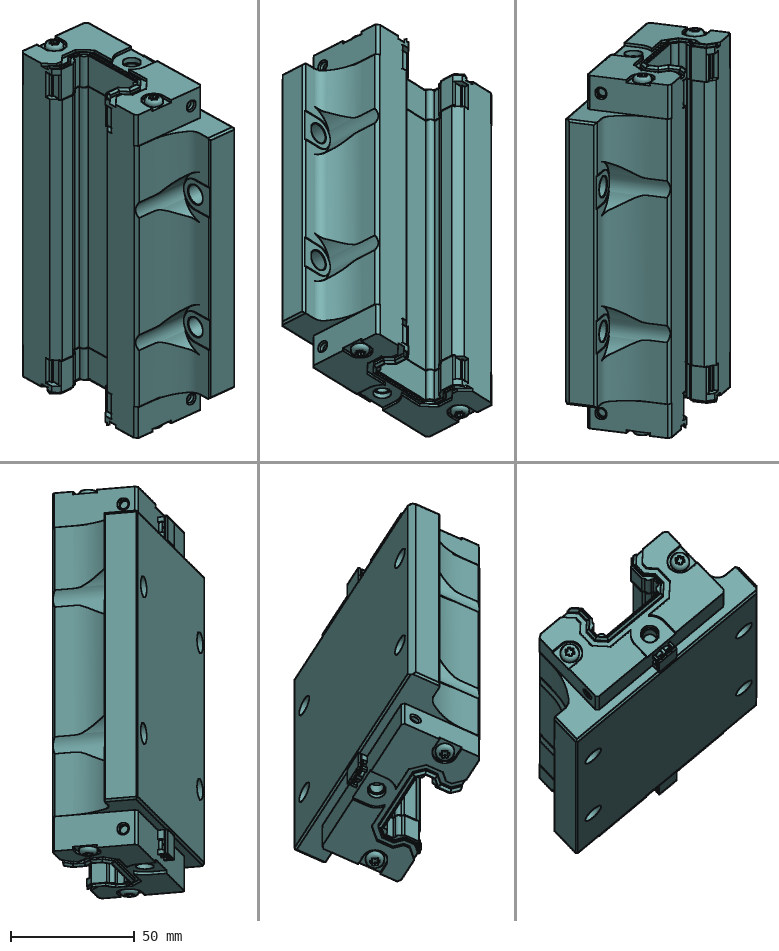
import cadquery as cq
import math


length = 153.5
flange_width = 100.0
height = 40.5
half_length = length / 2
flange_half = flange_width / 2

block_half_length = 61.1
flange_bottom = 26.4
fillet_outer_x = 43.6
fillet_inner_x = 39.3
fillet_end_y = 23.5
fillet_radius = 5.2
block_wall_x = 35.0
flank_end_y = 9.0
leg_bevel = 1.4
datum_bevel = 2.5
datum_lower_bevel = 1.0
plain_bevel = 0.6
end_bevel = 0.9

bolt_x = 41.0
bolt_z = 31.0
bolt_diameter = 8.6
bolt_mouth_diameter = 9.0
seat_diameter = 14.0
seat_depth = 0.3
relief_x = 46.5
relief_radius = 12.0

opening_ceiling = 18.4
opening_waist_x = 16.7
waist_low_y = 12.6
waist_high_y = 16.0
bead_x = 14.3
bead_radius = 1.7
low_bead_y = 10.5
high_bead_y = 17.7
tip_x = 13.4
tip_high_y = 9.2
cap_mouth_x = 16.1
block_mouth_x = 17.3
block_clearance = 0.3

cap_half_width = 34.8
cap_height = 36.0
cap_face_z = 75.7
face_recess = 1.2
recess_floor_z = cap_face_z - face_recess
bottom_bevel_x = 1.5
bottom_bevel_y = 1.0
top_bevel = 1.0
notch_end_z = 72.8
notch_inner_x = 14.1
notch_step_x = 18.3
notch_outer_x = 19.8
notch_depth = 2.9
notch_step_depth = 2.0

lip_height = 1.0
lip_width = 1.2
lip_mouth_x = 18.9
lip_tip_x = 15.5
lip_tip_high_y = 8.1
lip_waist_x = 18.7
lip_waist_high_y = 16.7
lip_top_y = 20.5
groove_width = 2.5

port_y = 29.2
port_relief_radius = 7.8
port_diameter = 7.4
port_bore = 5.8
port_step_depth = 2.3
port_depth = 7.7

plug_z = 67.1
plug_half_width = 4.8
plug_front_z = 71.2
plug_core_diameter = 7.7
plug_neck_diameter = 8.6
collar_top_y = 38.7
neck_top_y = 39.3
plug_top_y = 40.2
window_top_y = 37.9
window_width = 4.5
front_window_outer_x = 3.7
post_half_width = 0.8

side_hole_y = 30.1
side_hole_z = 68.6
side_hole_diameter = 5.0
side_hole_bevel = 0.6
side_hole_depth = 2.3

screw_x = 30.0
screw_y = 14.0
screw_pocket_radius = 5.0
screw_head_diameter = 7.7
screw_top_diameter = 4.6
socket_core = 2.5
socket_lobe = 1.2
socket_lobe_circle = 2.8
socket_depth = 1.5


def arc_middle(start, end, radius, side):
    """Middle point of an arc; side is +1 when it bows to the left of start-to-end."""
    dx = end[0] - start[0]
    dy = end[1] - start[1]
    chord = math.hypot(dx, dy)
    rise = radius - math.sqrt(radius ** 2 - (chord / 2) ** 2)
    middle_x = (start[0] + end[0]) / 2 - side * rise * dy / chord
    middle_y = (start[1] + end[1]) / 2 + side * rise * dx / chord
    return (middle_x, middle_y)


def extrude_between(outline, z_start, z_end):
    return outline.extrude(z_end - z_start).translate((0, 0, z_start))


def both_sides(points):
    """Close an outline given on +X by its mirror image on -X."""
    return points + [(-x, y) for x, y in reversed(points)]


def box_between(x0, x1, y0, y1, z0, z1):
    return cq.Workplane("XY").box(x1 - x0, y1 - y0, z1 - z0, centered=False).translate((x0, y0, z0))


def cylinder_y(diameter, x, z, y0, y1):
    return cq.Workplane("XZ").circle(diameter / 2).extrude(y0 - y1).translate((x, y0, z))


def half_block():
    """The +X half of the block, bevelled at its ends; the flank runs tangent into the leg wall."""
    flank_width = fillet_inner_x - block_wall_x
    flank_drop = fillet_end_y - flank_end_y
    flank_radius = (flank_width ** 2 + flank_drop ** 2) / (2 * flank_width)
    fillet_start = (fillet_outer_x, flange_bottom)
    fillet_end = (fillet_inner_x, fillet_end_y)
    flank_end = (block_wall_x, flank_end_y)
    outline = (
        cq.Workplane("XY")
        .moveTo(0, height)
        .lineTo(flange_half, height)
        .lineTo(flange_half, flange_bottom)
        .lineTo(*fillet_start)
        .threePointArc(arc_middle(fillet_start, fillet_end, fillet_radius, -1), fillet_end)
        .threePointArc(arc_middle(fillet_end, flank_end, flank_radius, -1), flank_end)
        .lineTo(block_wall_x, leg_bevel)
        .lineTo(block_wall_x - leg_bevel, 0)
        .lineTo(0, 0)
        .close()
    )
    body = extrude_between(outline, -block_half_length, block_half_length)
    body = body.faces(">Y").edges("|X").chamfer(end_bevel)
    return body.faces(">X").edges("|Y").chamfer(end_bevel)


def edge_bevel(x, y, x_size, y_size):
    """Prism that removes the long edge at (x, y); signed sizes point into the part."""
    corner = cq.Workplane("XY").polyline([(x, y), (x + x_size, y), (x, y + y_size)]).close()
    return extrude_between(corner, -half_length, half_length)


def bolt_cut(side, z):
    """Relief down the flank, round seat open to the flange side, and bevelled bolt hole."""
    x = side * bolt_x
    seat_y = flange_bottom + seat_depth
    seat_radius = seat_diameter / 2
    relief = cylinder_y(2 * relief_radius, side * relief_x, z, 0, flange_bottom)
    seat = cylinder_y(seat_diameter, x, z, 0, seat_y)
    outer = side * flange_half
    runout = box_between(min(x, outer), max(x, outer), 0, seat_y, z - seat_radius, z + seat_radius)
    bore = cylinder_y(bolt_diameter, x, z, 0, height)
    mouth_depth = (bolt_mouth_diameter - bolt_diameter) / 2
    seat_plane = cq.Workplane("XZ", origin=(x, seat_y, z))
    mouth = seat_plane.circle(bolt_mouth_diameter / 2).extrude(-mouth_depth, taper=45)
    return relief.union(seat).union(runout).union(bore).union(mouth)


def rail_opening(mouth_x, clearance, z_start, z_end):
    """Opening for the rail, with a rounded bead above and below its waist."""
    tip = tip_x + clearance
    bead = bead_x + clearance
    waist = opening_waist_x + clearance
    ceiling = opening_ceiling + clearance / 2
    bead_end_x = bead + bead_radius
    low_end = (bead_end_x, low_bead_y + bead_radius)
    high_start = (bead_end_x, high_bead_y - bead_radius)
    low_middle = arc_middle((bead, low_bead_y), low_end, bead_radius, 1)
    high_middle = arc_middle(high_start, (bead, high_bead_y), bead_radius, 1)
    half = (
        cq.Workplane("XY")
        .moveTo(0, 0)
        .lineTo(mouth_x, 0)
        .lineTo(tip, mouth_x - tip)
        .lineTo(tip, tip_high_y)
        .lineTo(bead, tip_high_y + bead_x - tip_x)
        .lineTo(bead, low_bead_y)
        .threePointArc(low_middle, low_end)
        .lineTo(waist, waist_low_y)
        .lineTo(waist, waist_high_y)
        .lineTo(*high_start)
        .threePointArc(high_middle, (bead, high_bead_y))
        .lineTo(bead, ceiling)
        .lineTo(0, ceiling)
        .close()
    )
    solid = extrude_between(half, z_start, z_end)
    return solid.union(solid.mirror("YZ"))


def cap_bar():
    """Cap bar with all four long edges bevelled."""
    points = [
        (cap_half_width - bottom_bevel_x, 0),
        (cap_half_width, bottom_bevel_y),
        (cap_half_width, cap_height - top_bevel),
        (cap_half_width - top_bevel, cap_height),
    ]
    outline = cq.Workplane("XY").polyline(both_sides(points)).close()
    return extrude_between(outline, block_half_length, cap_face_z)


def lip_outline():
    """Outer edge of the lip; its 45-degree sides run on below the part."""
    below = 6.1
    points = [
        (lip_mouth_x + below, -below),
        (lip_tip_x, lip_mouth_x - lip_tip_x),
        (lip_tip_x, lip_tip_high_y),
        (lip_waist_x, lip_tip_high_y + lip_waist_x - lip_tip_x),
        (lip_waist_x, lip_waist_high_y),
        (lip_waist_x - (lip_top_y - lip_waist_high_y), lip_top_y),
    ]
    return cq.Workplane("XY").polyline(both_sides(points)).close()


def seal_lip():
    """Lip with a straight foot in the groove and a bevelled rim above the face."""
    foot = extrude_between(lip_outline(), recess_floor_z, cap_face_z)
    crest = lip_outline().extrude(lip_height, taper=45).translate((0, 0, cap_face_z))
    inside = extrude_between(lip_outline().offset2D(-lip_width, "intersection"), cap_face_z, half_length)
    part_side = box_between(-cap_half_width, cap_half_width, 0, cap_height, 0, half_length)
    return foot.union(crest).cut(inside).intersect(part_side)


def face_grooves():
    """Shallow recess around the lip, joined to the recess around the grease port."""
    wide_outline = lip_outline().offset2D(groove_width, "intersection")
    around_lip = extrude_between(wide_outline, recess_floor_z, cap_face_z)
    disc = cq.Workplane("XY").center(0, port_y).circle(port_relief_radius)
    around_port = extrude_between(disc, recess_floor_z, cap_face_z)
    to_top = box_between(
        -port_relief_radius, port_relief_radius, port_y, cap_height, recess_floor_z, cap_face_z)
    return around_lip.union(around_port).union(to_top)


def port_hole():
    """Stepped blind hole from the recess floor."""
    plane = cq.Workplane("XY", origin=(0, port_y, recess_floor_z))
    bore = plane.circle(port_bore / 2).extrude(-port_depth)
    mouth = plane.circle(port_diameter / 2).extrude(-port_step_depth)
    return bore.union(mouth)


def grease_plug():
    """Collar with windows onto a round core, then a neck and a flat head."""
    collar = box_between(
        -plug_half_width, plug_half_width, cap_height, collar_top_y, block_half_length, plug_front_z)
    window_half = window_width / 2
    side_window = box_between(
        -plug_half_width, plug_half_width, cap_height, window_top_y,
        plug_z - window_half, plug_z + window_half)
    collar = collar.cut(side_window)
    for x in (post_half_width, -front_window_outer_x):
        width = front_window_outer_x - post_half_width
        collar = collar.cut(box_between(x, x + width, cap_height, window_top_y, plug_z, plug_front_z))
    core = cylinder_y(plug_core_diameter, 0, plug_z, cap_height, collar_top_y)
    neck = cylinder_y(plug_neck_diameter, 0, plug_z, collar_top_y, neck_top_y)
    post = box_between(-post_half_width, post_half_width, cap_height, neck_top_y, plug_z, plug_front_z)
    head = box_between(
        -plug_half_width, plug_half_width, neck_top_y, plug_top_y, block_half_length, plug_front_z)
    return collar.union(core).union(neck).union(post).union(head)


def side_hole(side):
    """Countersunk blind hole in one side of the cap."""
    plane = cq.Workplane("YZ", origin=(side * cap_half_width, side_hole_y, side_hole_z))
    bore = plane.circle(side_hole_diameter / 2 - side_hole_bevel).extrude(-side * side_hole_depth)
    mouth = plane.circle(side_hole_diameter / 2).extrude(-side * side_hole_bevel, taper=45)
    return bore.union(mouth)


def screw_pocket(side):
    """Round-ended pocket that runs out through the side of the cap."""
    x = side * screw_x
    outer = side * cap_half_width
    end = extrude_between(
        cq.Workplane("XY").center(x, screw_y).circle(screw_pocket_radius), recess_floor_z, cap_face_z)
    runout = box_between(
        min(x, outer), max(x, outer), screw_y - screw_pocket_radius, screw_y + screw_pocket_radius,
        recess_floor_z, cap_face_z)
    return end.union(runout)


def screw_head(side):
    """Domed head with a six-lobed socket."""
    head_height = half_length - recess_floor_z
    head_radius = screw_head_diameter / 2
    top_radius = screw_top_diameter / 2
    dome_radius = head_radius - top_radius
    rim = (head_radius, head_height - dome_radius)
    top = (top_radius, head_height)
    dome = (
        cq.Workplane("XZ")
        .lineTo(head_radius, 0)
        .lineTo(*rim)
        .threePointArc(arc_middle(rim, top, dome_radius, -1), top)
        .lineTo(0, head_height)
        .close()
        .revolve(360, (0, 0, 0), (0, 1, 0))
    )
    socket = cq.Workplane("XY").circle(socket_core / 2).extrude(socket_depth)
    lobes = (
        cq.Workplane("XY").polarArray(socket_lobe_circle / 2, 0, 360, 6)
        .circle(socket_lobe / 2).extrude(socket_depth))
    socket = socket.union(lobes).translate((0, 0, head_height - socket_depth))
    return dome.cut(socket).translate((side * screw_x, screw_y, recess_floor_z))


def mouth_notch(side):
    """Stepped notch in the underside of one leg, next to the block."""
    step = box_between(notch_inner_x, notch_step_x, 0, notch_depth, block_half_length, notch_end_z)
    ledge = box_between(notch_step_x, notch_outer_x, 0, notch_step_depth, block_half_length, notch_end_z)
    notch = step.union(ledge)
    return notch if side > 0 else notch.mirror("YZ")


def end_cap():
    """Cap at the +Z end."""
    cap = cap_bar().cut(face_grooves()).union(seal_lip())
    cap = cap.cut(rail_opening(cap_mouth_x, 0, block_half_length, half_length))
    cap = cap.cut(port_hole()).union(grease_plug())
    for side in (1, -1):
        cap = cap.cut(side_hole(side)).cut(mouth_notch(side))
        cap = cap.cut(screw_pocket(side)).union(screw_head(side))
    return cap


def block():
    """Flanged steel block with bevelled edges, bolt holes and the rail opening."""
    body = half_block()
    body = body.union(body.mirror("YZ"))
    edges = [
        (-flange_half, height, datum_bevel, -datum_bevel),
        (-flange_half, flange_bottom, datum_lower_bevel, datum_lower_bevel),
        (flange_half, height, -plain_bevel, -plain_bevel),
        (flange_half, flange_bottom, -plain_bevel, plain_bevel),
    ]
    for x, y, x_size, y_size in edges:
        body = body.cut(edge_bevel(x, y, x_size, y_size))
    for side in (1, -1):
        for z in (bolt_z, -bolt_z):
            body = body.cut(bolt_cut(side, z))
    return body.cut(rail_opening(block_mouth_x, block_clearance, -block_half_length, block_half_length))


cap = end_cap()
result = block().union(cap).union(cap.mirror("XY"))